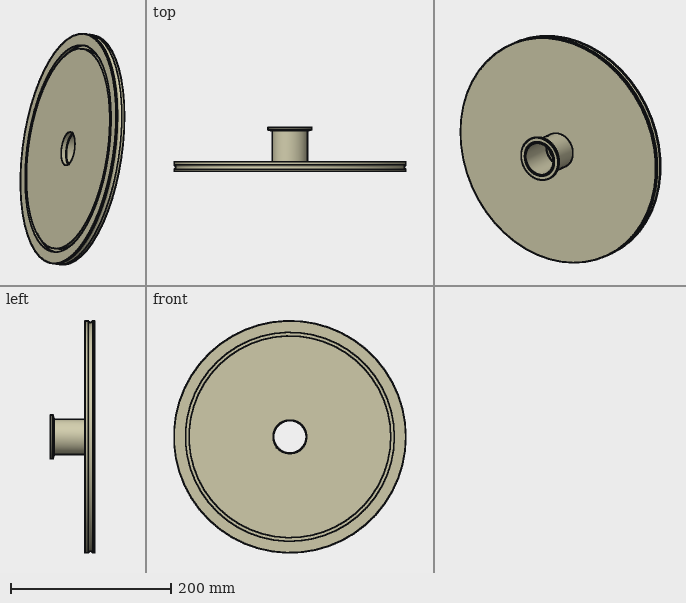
import cadquery as cq
import math


plate_diameter = 290.0
plate_thickness = 12.0
plate_edge_chamfer = 0.3
clamp_groove_width = 5.7
clamp_groove_depth = 2.0
clamp_groove_front = 2.3
centring_outer_diameter = 261.0
centring_inner_diameter = 252.0
centring_groove_depth = 5.0

tube_outer_diameter = 44.5
tube_inner_diameter = 40.5
socket_depth = 5.0
plate_bore_diameter = 42.0

overall_length = 55.0
small_flange_diameter = 55.0
small_flange_rim = 3.2
small_flange_taper_angle = 15.0
small_flange_rim_chamfer = 0.3

taper_height = (small_flange_diameter - tube_outer_diameter) / 2 - small_flange_rim_chamfer
taper_length = taper_height * math.tan(math.radians(small_flange_taper_angle))
socket_floor = plate_thickness - socket_depth


def revolve_about_y(profile):
    """Close a half profile and turn it into a solid of revolution."""
    return profile.close().revolve(360, (0, 0, 0), (0, 1, 0))


def ring(outer_diameter, inner_diameter, start, end):
    """Plain ring between two stations along the Y axis."""
    width = (outer_diameter - inner_diameter) / 2
    length = end - start
    return revolve_about_y(
        cq.Workplane("XY")
        .moveTo(inner_diameter / 2, start)
        .hLine(width)
        .vLine(length)
        .hLine(-width)
    )


def make_plate():
    """Blank flange with a rounded rim groove, a face groove and a stepped bore."""
    rim = plate_diameter / 2
    groove_back = clamp_groove_front + clamp_groove_width
    groove_middle = clamp_groove_front + clamp_groove_width / 2
    body = revolve_about_y(
        cq.Workplane("XY")
        .moveTo(plate_bore_diameter / 2, 0)
        .lineTo(rim - plate_edge_chamfer, 0)
        .lineTo(rim, plate_edge_chamfer)
        .lineTo(rim, clamp_groove_front)
        .threePointArc((rim - clamp_groove_depth, groove_middle), (rim, groove_back))
        .lineTo(rim, plate_thickness - plate_edge_chamfer)
        .lineTo(rim - plate_edge_chamfer, plate_thickness)
        .lineTo(tube_outer_diameter / 2, plate_thickness)
        .lineTo(tube_outer_diameter / 2, socket_floor)
        .lineTo(plate_bore_diameter / 2, socket_floor)
    )
    return body.cut(ring(centring_outer_diameter, centring_inner_diameter, 0, centring_groove_depth))


def make_tube():
    """Tube from the floor of the plate socket to the free end."""
    return ring(tube_outer_diameter, tube_inner_diameter, socket_floor, overall_length)


def make_small_flange():
    """Clamp flange around the tube end, with a conical back face."""
    rim = small_flange_diameter / 2
    tube = tube_outer_diameter / 2
    rim_back = overall_length - small_flange_rim
    return revolve_about_y(
        cq.Workplane("XY")
        .moveTo(tube, overall_length)
        .lineTo(rim - small_flange_rim_chamfer, overall_length)
        .lineTo(rim, overall_length - small_flange_rim_chamfer)
        .lineTo(rim, rim_back + small_flange_rim_chamfer)
        .lineTo(rim - small_flange_rim_chamfer, rim_back)
        .lineTo(tube, rim_back - taper_length)
    )


plate = make_plate()
tube = make_tube()
small_flange = make_small_flange()

result = cq.Compound.makeCompound([plate.val(), tube.val(), small_flange.val()])